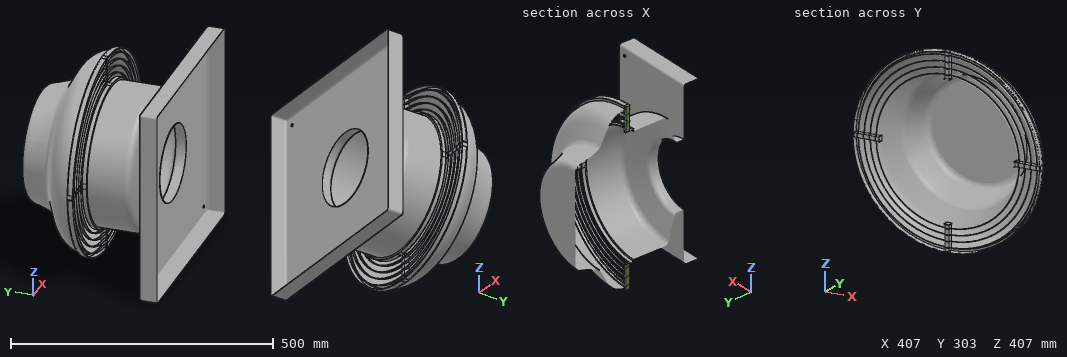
import cadquery as cq
import math


sheet = 1.0

tray_side = 400.0
tray_depth = 36.5
tray_rounding = 6.0
screw_hole_spacing = 359.8
screw_hole_diameter = 5.5

neck_radius = 78.0
neck_corner_y = 57.5
neck_rounding = 8.0
housing_radius = 143.0
shoulder_y = 75.3
shoulder_rounding = 14.0

band_thickness = 2.0
collar_radius = 147.7
collar_inner_radius = collar_radius - band_thickness
collar_front_y = 159.5
housing_end_y = collar_front_y + sheet
rim_radius = 203.5
rim_inner_radius = rim_radius - band_thickness
rim_front_y = 168.5
rim_back_y = 179.5
spoke_width = 9.0
spoke_recess = 1.2
spoke_pad_width = 11.0
spoke_count = 4
ring_count = 4
ring_pitch = 13.0
ring_thickness = 1.2
ring_depth = 5.0
first_ring_radius = 156.0

hood_radius = 198.0
hood_top_y = 303.0
hood_arc_radius = 51.0
hood_cone_angle = math.radians(62.5)
crown_radius = 114.8
crown_rounding = 13.5
crown_side_sagitta = 2.0
waist_radius = 134.5
waist_rounding = 14.2


def axial_outline():
    """Start an outline whose points are (radius, y)."""
    return cq.Workplane("ZY")


def turn(outline):
    """Turn a closed outline about the Y axis."""
    return outline.close().revolve(360, (0, 0), (0, 1))


def round_edge(body, y, radius):
    """Round the circular edge of a turned body that lies at height y."""
    return body.edges(cq.NearestToPointSelector((0, y, 0))).fillet(radius)


def tube(outer_radius, inner_radius, front_y, back_y):
    outline = (
        axial_outline()
        .moveTo(inner_radius, front_y)
        .lineTo(outer_radius, front_y)
        .lineTo(outer_radius, back_y)
        .lineTo(inner_radius, back_y)
    )
    return turn(outline)


def make_tray():
    tray = (
        cq.Workplane("XZ")
        .rect(tray_side, tray_side)
        .extrude(-tray_depth)
        .edges("|Y or >Y")
        .fillet(tray_rounding)
        .faces("<Y")
        .shell(-sheet)
    )
    screw_holes = (
        cq.Workplane("XZ")
        .rect(screw_hole_spacing, screw_hole_spacing, forConstruction=True)
        .vertices()
        .circle(screw_hole_diameter / 2)
        .extrude(-tray_depth)
    )
    inlet = cq.Workplane("XZ").circle(neck_radius - sheet).extrude(-tray_depth)
    return tray.cut(screw_holes).cut(inlet)


def make_housing():
    front_y = tray_depth - sheet
    outline = (
        axial_outline()
        .moveTo(0, front_y)
        .lineTo(neck_radius, front_y)
        .lineTo(neck_radius, neck_corner_y)
        .lineTo(housing_radius, shoulder_y)
        .lineTo(housing_radius, housing_end_y)
        .lineTo(0, housing_end_y)
    )
    housing = turn(outline)
    housing = round_edge(housing, neck_corner_y, neck_rounding)
    housing = round_edge(housing, shoulder_y, shoulder_rounding)
    return housing.faces("<Y or >Y").shell(-sheet)


def make_hood():
    arc_centre_radius = hood_radius - hood_arc_radius

    def arc_point(angle):
        return (
            arc_centre_radius + hood_arc_radius * math.cos(angle),
            rim_back_y + hood_arc_radius * math.sin(angle),
        )

    cone_radius, cone_y = arc_point(hood_cone_angle)
    waist_y = cone_y + (cone_radius - waist_radius) / math.tan(hood_cone_angle)
    outline = (
        axial_outline()
        .moveTo(0, rim_back_y)
        .lineTo(hood_radius, rim_back_y)
        .threePointArc(arc_point(hood_cone_angle / 2), (cone_radius, cone_y))
        .lineTo(waist_radius, waist_y)
        .sagittaArc((crown_radius, hood_top_y), crown_side_sagitta)
        .lineTo(0, hood_top_y)
    )
    hood = turn(outline)
    hood = round_edge(hood, waist_y, waist_rounding)
    hood = round_edge(hood, hood_top_y, crown_rounding)
    return hood.faces("<Y").shell(-sheet)


def radial_block(inner, outer, front_y, back_y, width):
    """A block along +X between two distances from the axis."""
    block = cq.Workplane("XY").box(outer - inner, back_y - front_y, width, centered=(False, False, True))
    return block.translate((inner, front_y, 0))


def make_spoke(direction):
    """A radial bar with a wider flat-ended pad at the collar and at the rim."""
    web_front_y = rim_front_y + spoke_recess
    collar_pad = radial_block(
        collar_inner_radius, collar_radius, collar_front_y, rim_back_y, spoke_pad_width
    )
    web = radial_block(collar_radius, rim_inner_radius, web_front_y, rim_back_y, spoke_width)
    rim_pad = radial_block(rim_inner_radius, rim_radius, rim_front_y, rim_back_y, spoke_pad_width)
    spoke = collar_pad.union(web).union(rim_pad)
    return spoke.rotate((0, 0, 0), (0, 1, 0), direction)


def make_grille():
    grille = tube(collar_radius, collar_inner_radius, collar_front_y, rim_front_y)
    lip = tube(collar_radius, housing_radius - sheet, collar_front_y, housing_end_y)
    grille = grille.union(lip)
    grille = grille.union(tube(rim_radius, rim_inner_radius, rim_front_y, rim_back_y))
    ledge = tube(rim_radius, hood_radius - sheet, rim_back_y - sheet, rim_back_y)
    grille = grille.union(ledge)
    for i in range(ring_count):
        radius = first_ring_radius + i * ring_pitch
        ring = tube(radius, radius - ring_thickness, rim_front_y, rim_front_y + ring_depth)
        grille = grille.union(ring)
    for i in range(spoke_count):
        grille = grille.union(make_spoke(i * 360 / spoke_count))
    return grille


result = make_tray().union(make_housing()).union(make_grille()).union(make_hood())